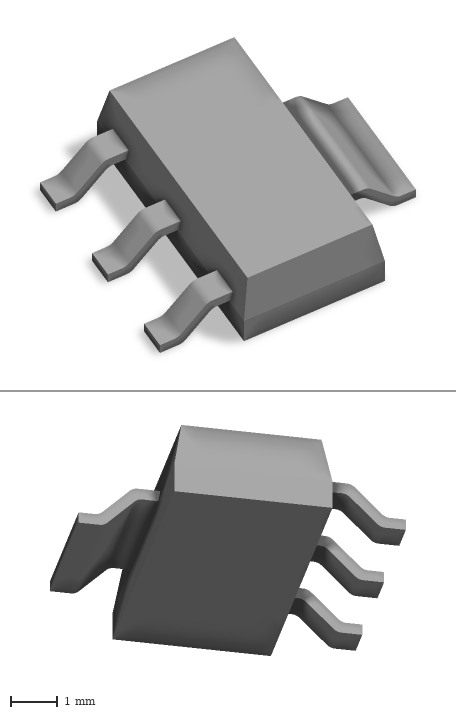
import cadquery as cq
import math

body_length = 6.5
body_width = 3.5
body_height = 1.8
base_height = 0.67
draft_angle = 10.0

overall_width = 7.0
lead_thickness = 0.26
lead_rise = 0.75
foot_length = 0.455
bend_angle = 45.0
bend_radius = 0.25
lead_embed = 0.35
pin_width = 0.7
pin_pitch = 2.3
pin_count = 3
tab_width = 3.01


def make_body():
    base = cq.Workplane("XY").box(body_length, body_width, base_height, centered=(True, True, False))
    cap = (
        cq.Workplane("XY", origin=(0, 0, base_height))
        .rect(body_length, body_width)
        .extrude(body_height - base_height, taper=draft_angle)
    )
    return base.union(cap)


def make_lead(width):
    """Gull-wing lead on the -Y side, centred on X = 0, running into the body."""
    tip = -overall_width / 2
    root = -body_width / 2 + lead_embed
    slope_run = lead_rise / math.tan(math.radians(bend_angle))
    corner_shift = lead_thickness * math.tan(math.radians(bend_angle / 2))
    foot_bend = tip + foot_length
    shoulder_bend = foot_bend + slope_run
    profile = [
        (tip, 0),
        (foot_bend + corner_shift, 0),
        (shoulder_bend + corner_shift, lead_rise),
        (root, lead_rise),
        (root, lead_rise + lead_thickness),
        (shoulder_bend, lead_rise + lead_thickness),
        (foot_bend, lead_thickness),
        (tip, lead_thickness),
    ]
    blank = cq.Workplane("YZ").polyline(profile).close().extrude(width / 2, both=True)
    bend_zone = cq.selectors.BoxSelector(
        (-width, tip + foot_length / 2, -lead_thickness),
        (width, -body_width / 2, body_height),
        boundingbox=False,
    )
    return blank.edges("|X").edges(bend_zone).fillet(bend_radius)


result = make_body()

pin = make_lead(pin_width)
for index in range(pin_count):
    pin_x = (index - (pin_count - 1) / 2) * pin_pitch
    result = result.union(pin.translate((pin_x, 0, 0)))

tab = make_lead(tab_width).mirror("XZ")
result = result.union(tab)